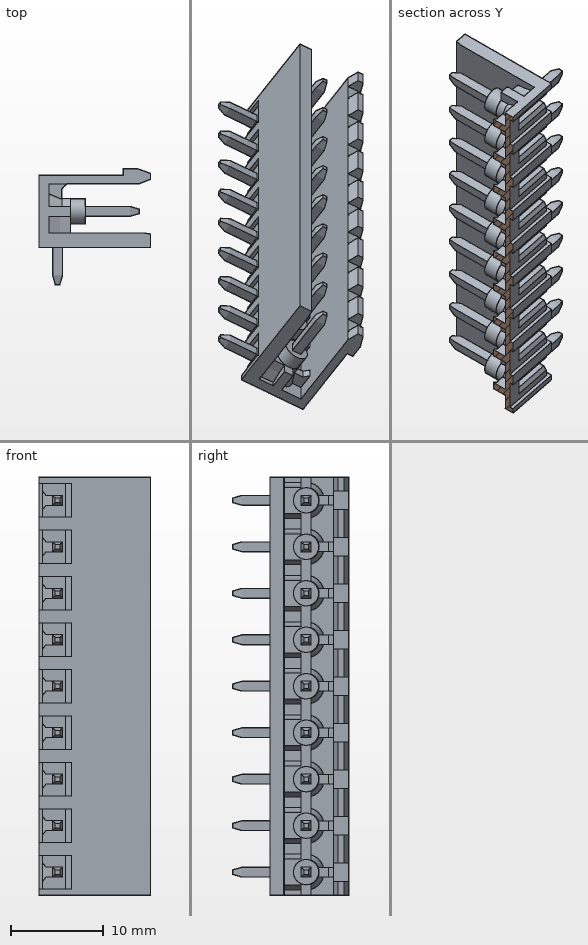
import cadquery as cq


way_count = 9
pitch = 5.0
row_length = way_count * pitch

housing_depth = 12.0
housing_width = 7.8
back_wall = 1.1
front_wall = 1.6
latch_wall = 0.95
front_lip_length = 0.8
front_lip_drop = 0.12

latch_start = 9.05
latch_outer_flat_end = 10.6
latch_inner_flat_end = 10.75
latch_height = 0.7
latch_tip_outer_drop = 0.5
latch_tip_inner_rise = 0.5
latch_gap_width = 2.0

pin_size = 1.08
pin_tip_size = 0.5
pin_tip_length = 1.0
pin_axis_y = housing_width / 2
pin_tail_x = 2.0
pin_end_x = 10.8
tail_end_y = -4.0
bend_outer_radius = 1.35
bend_inner_radius = bend_outer_radius - pin_size

rib_end_x = 3.4
boss_end_x = 5.0
boss_radius = 1.4
boss_nose_radius = 1.36
flare_radius = 1.93
flare_end_x = 2.45
block_knee_x = 2.3
block_knee_half_height = 1.55
gusset_thickness = 1.0
gusset_chamfer = 0.55

recess_height = 3.6
recess_depth = 0.4
recess_end_x = 3.5
recess_slope_length = 0.65
recess_top_y = 7.0
funnel_height = 1.95
funnel_depth = 0.35
slot_top_y = 5.05
slot_end_drop = 0.65

latch_inner_y = housing_width - latch_wall
pin_half = pin_size / 2
pin_back_x = pin_tail_x - pin_half
pin_front_x = pin_tail_x + pin_half
pin_low_y = pin_axis_y - pin_half
pin_high_y = pin_axis_y + pin_half


def slab(points, height, center_z):
    """Closed XY outline extruded evenly about center_z."""
    outline = cq.Workplane("XY", origin=(0, 0, center_z)).polyline(points).close()
    return outline.extrude(height / 2, both=True)


def box(x_range, y_range, height, center_z):
    """Axis-aligned block centred on center_z."""
    (x0, x1), (y0, y1) = x_range, y_range
    return slab([(x0, y0), (x1, y0), (x1, y1), (x0, y1)], height, center_z)


def make_channel():
    """U-shaped housing with the latch on its +Y wall and the central rib."""
    points = [
        (0, 0),
        (housing_depth, 0),
        (housing_depth, front_wall - front_lip_drop),
        (housing_depth - front_lip_length, front_wall),
        (back_wall, front_wall),
        (back_wall, pin_low_y),
        (rib_end_x, pin_low_y),
        (rib_end_x, pin_high_y),
        (back_wall, pin_high_y),
        (back_wall, latch_inner_y),
        (latch_inner_flat_end, latch_inner_y),
        (housing_depth, latch_inner_y + latch_tip_inner_rise),
        (housing_depth, housing_width + latch_height - latch_tip_outer_drop),
        (latch_outer_flat_end, housing_width + latch_height),
        (latch_start, housing_width + latch_height),
        (latch_start, housing_width),
        (0, housing_width),
    ]
    return slab(points, row_length, row_length / 2)


def make_boss(z):
    """Round boss on the pin axis, flared at the back wall and stepped at the rib end."""
    profile = [
        (back_wall, 0),
        (boss_end_x, 0),
        (boss_end_x, boss_nose_radius),
        (rib_end_x, boss_nose_radius),
        (rib_end_x, boss_radius),
        (flare_end_x, boss_radius),
        (back_wall, flare_radius),
    ]
    sketch = cq.Workplane("XY", origin=(0, pin_axis_y, z)).polyline(profile).close()
    return sketch.revolve(360, (0, 0, 0), (1, 0, 0))


def make_block(z):
    """Tapered block between the pin axis and the front wall, enclosing the slot."""
    upper = [
        (back_wall, flare_radius),
        (block_knee_x, block_knee_half_height),
        (rib_end_x, boss_radius),
    ]
    lower = [(x, -half) for x, half in reversed(upper)]
    sketch = cq.Workplane("XZ", origin=(0, front_wall, z)).polyline(upper + lower).close()
    return sketch.extrude(front_wall - pin_axis_y)


def make_gusset(z):
    """Thickening of the back wall between the boss and the latch wall."""
    points = [
        (back_wall, pin_axis_y),
        (flare_end_x, pin_axis_y),
        (flare_end_x, latch_inner_y - gusset_chamfer),
        (flare_end_x + gusset_chamfer, latch_inner_y),
        (back_wall, latch_inner_y),
    ]
    return slab(points, gusset_thickness, z)


def make_recess(z):
    """Shallow pocket wrapping the -X and -Y faces, with a sloped +X end."""
    points = [
        (0, 0),
        (recess_end_x, 0),
        (recess_end_x - recess_slope_length, recess_depth),
        (recess_depth, recess_depth),
        (recess_depth, recess_top_y),
        (0, recess_top_y),
    ]
    return slab(points, recess_height, z)


def make_slot(z):
    """Pin slot with a funnel mouth; its end face slopes along the boss flare."""
    side_outline = [
        (recess_depth, 0),
        (pin_front_x, 0),
        (pin_front_x, slot_top_y - slot_end_drop),
        (recess_depth, slot_top_y),
    ]
    mouth = funnel_height / 2
    throat_x = recess_depth + funnel_depth
    section = [
        (recess_depth, -mouth),
        (throat_x, -pin_half),
        (pin_front_x, -pin_half),
        (pin_front_x, pin_half),
        (throat_x, pin_half),
        (recess_depth, mouth),
    ]
    sketch = cq.Workplane("XZ", origin=(0, 0, z)).polyline(section).close()
    return sketch.extrude(-slot_top_y).intersect(slab(side_outline, funnel_height, z))


def make_tip(plane, origin):
    """Square tip tapering along the normal of its plane."""
    base = cq.Workplane(plane, origin=origin).rect(pin_size, pin_size)
    end = base.workplane(offset=pin_tip_length).rect(pin_tip_size, pin_tip_size)
    return end.loft(combine=True)


def make_pin(z):
    """Square right-angle pin with tapered tips."""
    mating_x = pin_end_x - pin_tip_length
    tail_y = tail_end_y + pin_tip_length
    points = [
        (pin_back_x, tail_y),
        (pin_front_x, tail_y),
        (pin_front_x, pin_low_y),
        (mating_x, pin_low_y),
        (mating_x, pin_high_y),
        (pin_back_x, pin_high_y),
    ]
    pin = slab(points, pin_size, z)
    outer_corner = cq.selectors.NearestToPointSelector((pin_back_x, pin_high_y, z))
    inner_corner = cq.selectors.NearestToPointSelector((pin_front_x, pin_low_y, z))
    pin = pin.edges(outer_corner).fillet(bend_outer_radius)
    pin = pin.edges(inner_corner).fillet(bend_inner_radius)
    mating_tip = make_tip("YZ", (mating_x, pin_axis_y, z))
    tail_tip = make_tip("XZ", (pin_tail_x, tail_y, z))
    return pin.union(mating_tip).union(tail_tip)


def make_latch_gap(z):
    """Gap that splits the latch tip into fingers in line with each pin."""
    x_range = (latch_inner_flat_end, housing_depth)
    y_range = (latch_inner_y, housing_width + latch_height)
    return box(x_range, y_range, latch_gap_width, z)


result = make_channel()
for way in range(way_count):
    way_z = (way + 0.5) * pitch
    for support in (make_boss, make_block, make_gusset):
        result = result.union(support(way_z))
    for opening in (make_recess, make_slot, make_latch_gap):
        result = result.cut(opening(way_z))
    result = result.union(make_pin(way_z))